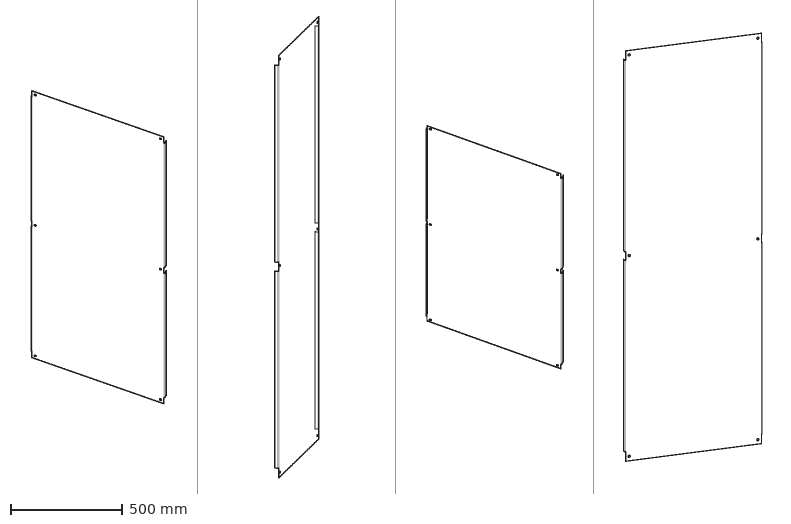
import cadquery as cq

width = 660.0
depth = 19.0
height = 1981.0

thickness = 2.0
inner_bend_radius = 3.0
outer_bend_radius = inner_bend_radius + thickness

flange_end_gap = 45.0
flange_middle_gap = 42.0
flange_length = (height - flange_middle_gap) / 2 - flange_end_gap
flange_offset = (flange_middle_gap + flange_length) / 2

hole_diameter = 10.0
hole_edge_distance_x = 22.0
hole_edge_distance_z = 22.0

panel_width = width - 2 * outer_bend_radius


def make_panel():
    """Flat sheet, ending at the start of the bends."""
    return cq.Workplane("XY").box(panel_width, thickness, height, centered=(True, False, True))


def make_right_flange(center_z):
    """Bend and straight flange on the +X edge, centred at the given height."""
    outer_x = width / 2
    inner_x = outer_x - thickness
    bend_x = panel_width / 2
    return (
        cq.Workplane("XY", origin=(0, 0, center_z))
        .moveTo(bend_x, 0)
        .radiusArc((outer_x, outer_bend_radius), -outer_bend_radius)
        .lineTo(outer_x, depth)
        .lineTo(inner_x, depth)
        .lineTo(inner_x, outer_bend_radius)
        .radiusArc((bend_x, thickness), inner_bend_radius)
        .close()
        .extrude(flange_length / 2, both=True)
    )


def make_holes():
    """Cutters for the four corner holes and the two at mid-height."""
    hole_x = width / 2 - hole_edge_distance_x
    hole_z = height / 2 - hole_edge_distance_z
    positions = [(x, z) for x in (-hole_x, hole_x) for z in (-hole_z, 0, hole_z)]
    return (
        cq.Workplane("XZ")
        .pushPoints(positions)
        .circle(hole_diameter / 2)
        .extrude(thickness, both=True)
    )


result = make_panel()
for flange_z in (-flange_offset, flange_offset):
    flange = make_right_flange(flange_z)
    result = result.union(flange).union(flange.mirror("YZ"))
result = result.cut(make_holes())